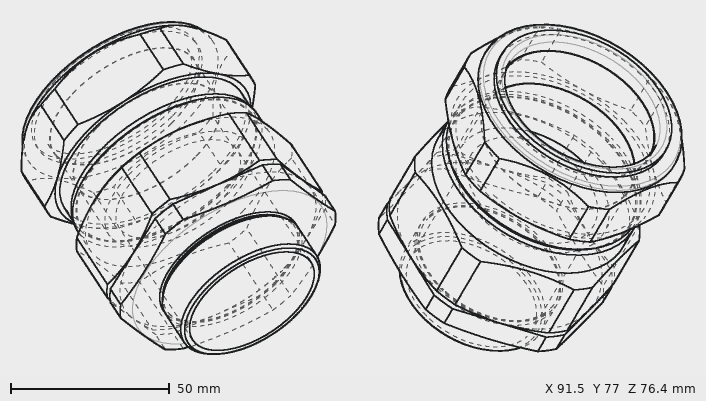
import cadquery as cq
import math


length = 91.5
collar_start = 1.9
nut_start = 3.9
nut_end = 25.3
body_end = 34.0
ring_start = 34.8
entry_start = 43.4
flange_start = 68.6
flange_end = 76.5
thread_start = 78.2

flat_radius = 35.0
corner_radius = 38.5
nut_turn = 17.4
nut_front_angle = 45.0
hexagon_end_angle = 60.0
flange_end_angle = 75.0
flange_end_radius = 34.8

seal_radius = 30.0
collar_radius = 34.7
collar_fillet = 0.9
body_radius = 33.3
body_chamfer = 1.3
ring_radius = 33.9
ring_chamfer = 1.5
thread_radius = 25.0
thread_chamfer = 0.9
neck_radius = 24.2
neck_cone_length = 0.4

bore_radius = 22.3
socket_lip = 1.65
socket_step = 0.2
mouth_radius = 26.6
mouth_end = 5.9
sleeve_end = 21.2
socket_end = 42.1


def turned(profile):
    """Solid of revolution about X under a list of (x, radius) points."""
    first_x = profile[0][0]
    last_x = profile[-1][0]
    outline = [(first_x, 0)] + profile + [(last_x, 0)]
    return cq.Workplane("XY").polyline(outline).close().revolve(360, (0, 0, 0), (1, 0, 0))


def cylinder(start, end, radius):
    return turned([(start, radius), (end, radius)])


def cone_length(end_radius, angle):
    """Axial length of a cone rising from end_radius to the hexagon corners."""
    return (corner_radius - end_radius) / math.tan(math.radians(angle))


def hexagon(turn, envelope):
    """Hexagonal prism along X with two corners on Y, turned about X and trimmed by a turned envelope."""
    start = envelope[0][0]
    end = envelope[-1][0]
    across_corners = 2 * flat_radius / math.cos(math.radians(30))
    prism = cq.Workplane("YZ", origin=(start, 0, 0)).polygon(6, across_corners).extrude(end - start)
    return prism.rotate((0, 0, 0), (1, 0, 0), turn).intersect(turned(envelope))


seal = cylinder(0, nut_start, seal_radius)
collar = cylinder(collar_start, nut_start, collar_radius).faces("<X").edges().fillet(collar_fillet)
nut = hexagon(nut_turn, [
    (nut_start, collar_radius),
    (nut_start + cone_length(collar_radius, nut_front_angle), corner_radius),
    (nut_end - cone_length(flat_radius, hexagon_end_angle), corner_radius),
    (nut_end, flat_radius),
])

body = turned([
    (nut_end, body_radius),
    (body_end - body_chamfer, body_radius),
    (body_end, body_radius - body_chamfer),
    (body_end, ring_radius - ring_chamfer),
    (ring_start, ring_radius),
    (entry_start, ring_radius),
])

entry = hexagon(0, [
    (entry_start, ring_radius),
    (entry_start + cone_length(ring_radius, hexagon_end_angle), corner_radius),
    (flange_start - cone_length(flat_radius, hexagon_end_angle), corner_radius),
    (flange_start, flat_radius),
])
flange = hexagon(0, [
    (flange_start, corner_radius),
    (flange_end - cone_length(flange_end_radius, flange_end_angle), corner_radius),
    (flange_end, flange_end_radius),
])

spigot = turned([
    (flange_end, thread_radius),
    (flange_end + neck_cone_length, neck_radius),
    (thread_start - (thread_radius - neck_radius), neck_radius),
    (thread_start, thread_radius),
    (length - thread_chamfer, thread_radius),
    (length, thread_radius - thread_chamfer),
])

lip = (
    cq.Workplane("XY")
    .lineTo(0, mouth_radius + socket_lip)
    .radiusArc((socket_lip, mouth_radius), -socket_lip)
    .lineTo(socket_lip, 0)
    .close()
    .revolve(360, (0, 0, 0), (1, 0, 0))
)
sleeve_radius = mouth_radius - socket_step
inner_radius = sleeve_radius - socket_step
socket = turned([
    (0, mouth_radius),
    (mouth_end, mouth_radius),
    (mouth_end, sleeve_radius),
    (sleeve_end, sleeve_radius),
    (sleeve_end, inner_radius),
    (socket_end, inner_radius),
])
bore = cylinder(0, length, bore_radius)

result = seal
for section in (collar, nut, body, entry, flange, spigot):
    result = result.union(section)
for cavity in (lip, socket, bore):
    result = result.cut(cavity)